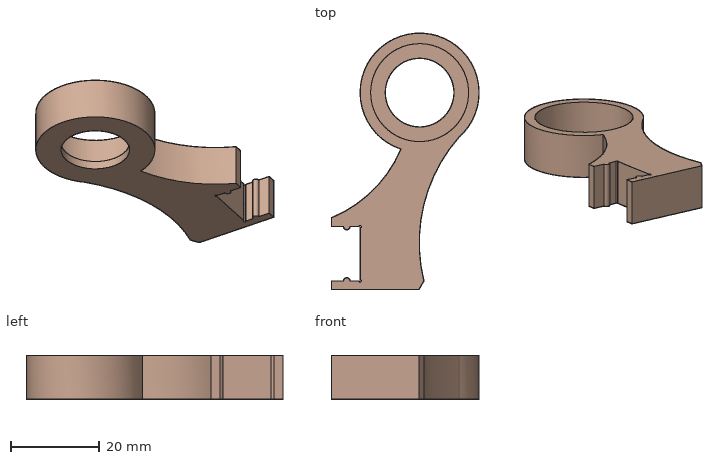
import cadquery as cq
import math

THICKNESS = 10.0

RING_X = 20.0
RING_Y = 44.65
RING_RADIUS = 13.5
BEARING_POCKET_DIAMETER = 22.2
BEARING_POCKET_DEPTH = 8.0
THROUGH_HOLE_DIAMETER = 15.5

JAW_THICKNESS = 2.0
SLOT_WIDTH = 12.3
SLOT_DEPTH = 6.5
SLOT_BOTTOM = JAW_THICKNESS
SLOT_TOP = SLOT_BOTTOM + SLOT_WIDTH
UPPER_JAW_TIP_Y = SLOT_TOP + JAW_THICKNESS

RIB_RADIUS = 0.75
RIB_X = 3.5

RELIEF_RADIUS = 0.25

FOOT_LENGTH = 19.85
FOOT_CORNER_X = 21.0
FOOT_CORNER_Y = 2.0
WAIST_X = 19.95
WAIST_Y = 10.8
OUTER_JUNCTION_X = 28.87
INNER_JUNCTION_X = 15.75
INNER_ARC_RADIUS = 29.2


def ring_lower_y(x):
    """Y of the lower half of the ring's outer circle at the given x."""
    return RING_Y - math.sqrt(RING_RADIUS**2 - (x - RING_X) ** 2)


def make_ring():
    return cq.Workplane("XY").center(RING_X, RING_Y).circle(RING_RADIUS).extrude(THICKNESS)


def make_arm():
    """Curved arm with a solid foot, running up into the ring."""
    outer_junction = (OUTER_JUNCTION_X, ring_lower_y(OUTER_JUNCTION_X))
    inner_junction = (INNER_JUNCTION_X, ring_lower_y(INNER_JUNCTION_X))
    return (
        cq.Workplane("XY")
        .lineTo(FOOT_LENGTH, 0)
        .lineTo(FOOT_CORNER_X, FOOT_CORNER_Y)
        .threePointArc((WAIST_X, WAIST_Y), outer_junction)
        .lineTo(RING_X, RING_Y)
        .lineTo(*inner_junction)
        .radiusArc((0, UPPER_JAW_TIP_Y), INNER_ARC_RADIUS)
        .close()
        .extrude(THICKNESS)
    )


def make_slot():
    """Clip opening, with round relief grooves at its two inner corners."""
    slot = cq.Workplane("XY").rect(SLOT_DEPTH, SLOT_WIDTH, centered=False).extrude(THICKNESS)
    slot = slot.translate((0, SLOT_BOTTOM, 0))
    corners = [(SLOT_DEPTH, SLOT_BOTTOM), (SLOT_DEPTH, SLOT_TOP)]
    reliefs = cq.Workplane("XY").pushPoints(corners).circle(RELIEF_RADIUS).extrude(THICKNESS)
    return slot.union(reliefs)


def make_ribs():
    """Rounded ribs facing each other on the two jaws."""
    rib_centres = [(RIB_X, SLOT_BOTTOM), (RIB_X, SLOT_TOP)]
    return cq.Workplane("XY").pushPoints(rib_centres).circle(RIB_RADIUS).extrude(THICKNESS)


def cut_bearing_seat(body):
    """Stepped bore: bearing pocket from the top, smaller hole right through."""
    return (
        body.faces(">Z")
        .workplane(origin=(RING_X, RING_Y, THICKNESS))
        .cboreHole(THROUGH_HOLE_DIAMETER, BEARING_POCKET_DIAMETER, BEARING_POCKET_DEPTH)
    )


body = make_arm().cut(make_slot()).union(make_ribs()).union(make_ring())
result = cut_bearing_seat(body)